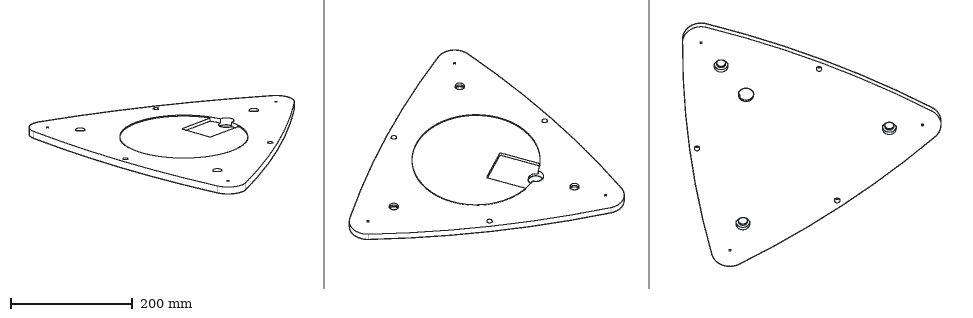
import cadquery as cq
import math

THICKNESS = 12.5
CORNER_DISTANCE = 228.0
CORNER_RADIUS = 30.5
SIDE_DISTANCE = 157.0

PIN_HOLE_DIAMETER = 3.0
MOUNT_HOLE_DIAMETER = 15.0
MOUNT_HOLE_DISTANCE = 173.0
COUNTERBORE_DIAMETER = 23.0
COUNTERBORE_DEPTH = 7.7
SIDE_HOLE_DIAMETER = 8.5
SIDE_HOLE_DISTANCE = 144.5

RECESS_DIAMETER = 210.0
RECESS_DEPTH = 2.0
POCKET_WIDTH = 62.0
POCKET_START_Y = 30.0
POCKET_DEPTH = 7.5
POCKET_CORNER_RADIUS = 2.7
CABLE_HOLE_DIAMETER = 25.0

CORNER_ANGLES = (90, 210, 330)
SIDE_ANGLES = (270, 30, 150)


def polar(distance, angle):
    """Point at a distance from the centre and an angle in degrees from +X."""
    return (
        distance * math.cos(math.radians(angle)),
        distance * math.sin(math.radians(angle)),
    )


def ring(distance, angles):
    return [polar(distance, angle) for angle in angles]


def cylinders(points, diameter, bottom, height):
    return cq.Workplane("XY", origin=(0, 0, bottom)).pushPoints(points).circle(diameter / 2).extrude(height)


def make_plate():
    half_span = CORNER_DISTANCE * math.cos(math.radians(30))
    corner_drop = CORNER_DISTANCE * math.sin(math.radians(30))
    rise = SIDE_DISTANCE - corner_drop
    side_radius = (half_span**2 + rise**2 - CORNER_RADIUS**2) / (2 * (rise - CORNER_RADIUS))
    tilt = math.asin(half_span / (side_radius - CORNER_RADIUS))
    joint_x = side_radius * math.sin(tilt)
    joint_y = side_radius * (1 - math.cos(tilt)) - SIDE_DISTANCE
    joint_distance = math.hypot(joint_x, joint_y)
    joint_angle = math.degrees(math.atan2(joint_y, joint_x))

    outline = cq.Workplane("XY").moveTo(-joint_x, joint_y)
    for turn in (0, 120, 240):
        outline = outline.threePointArc(
            polar(SIDE_DISTANCE, 270 + turn), polar(joint_distance, joint_angle + turn)
        )
        next_joint_angle = 180 - joint_angle + turn + 120
        outline = outline.threePointArc(
            polar(CORNER_DISTANCE + CORNER_RADIUS, 330 + turn), polar(joint_distance, next_joint_angle)
        )
    return outline.close().extrude(THICKNESS)


def make_recess():
    return cylinders([(0, 0)], RECESS_DIAMETER, THICKNESS - RECESS_DEPTH, RECESS_DEPTH)


def make_pocket():
    floor = THICKNESS - POCKET_DEPTH
    block = (
        cq.Workplane("XY", origin=(0, POCKET_START_Y, floor))
        .rect(POCKET_WIDTH, RECESS_DIAMETER)
        .extrude(POCKET_DEPTH)
        .translate((0, RECESS_DIAMETER / 2, 0))
        .edges("|Z and <Y")
        .fillet(POCKET_CORNER_RADIUS)
    )
    return block.intersect(cylinders([(0, 0)], RECESS_DIAMETER, floor, POCKET_DEPTH))


def make_holes():
    pins = cylinders(ring(CORNER_DISTANCE, CORNER_ANGLES), PIN_HOLE_DIAMETER, 0, THICKNESS)
    sides = cylinders(ring(SIDE_HOLE_DISTANCE, SIDE_ANGLES), SIDE_HOLE_DIAMETER, 0, THICKNESS)
    mount_points = ring(MOUNT_HOLE_DISTANCE, CORNER_ANGLES)
    mounts = cylinders(mount_points, MOUNT_HOLE_DIAMETER, 0, THICKNESS)
    counterbores = cylinders(mount_points, COUNTERBORE_DIAMETER, 0, COUNTERBORE_DEPTH)
    cable = cylinders([(0, RECESS_DIAMETER / 2)], CABLE_HOLE_DIAMETER, 0, THICKNESS)
    return [pins, sides, mounts, counterbores, cable]


result = make_plate().cut(make_recess()).cut(make_pocket())
for holes in make_holes():
    result = result.cut(holes)